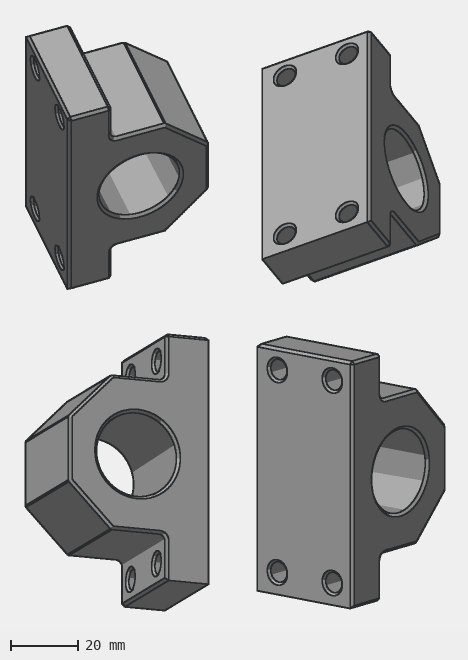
import cadquery as cq

width = 36.5
depth = 44.7
height = 75.75

flange_thickness = 13.7
body_height = 47.4
nose_height = 20.0
root_fillet = 2.0
edge_chamfer = 0.9
slope_chamfer = 0.3

bore_diameter = 25.6
bore_distance = 22.8

hole_diameter = 6.2
hole_chamfer = 0.75
hole_spacing_x = 21.05
hole_spacing_z = 62.1

slope_run = (body_height - nose_height) / 2
slope_start = depth - slope_run

tolerance = 0.01


def make_blank():
    """Extrude the side outline across the width, with rounded body roots and blunted slope ends."""
    outline = [
        (0, -height / 2),
        (flange_thickness, -height / 2),
        (flange_thickness, -body_height / 2),
        (slope_start, -body_height / 2),
        (depth, -nose_height / 2),
        (depth, nose_height / 2),
        (slope_start, body_height / 2),
        (flange_thickness, body_height / 2),
        (flange_thickness, height / 2),
        (0, height / 2),
    ]
    blank = cq.Workplane("YZ").polyline(outline).close().extrude(width / 2, both=True)

    def is_root(edge):
        center = edge.Center()
        at_flange_back = abs(center.y - flange_thickness) < tolerance
        at_body_side = abs(abs(center.z) - body_height / 2) < tolerance
        return at_flange_back and at_body_side

    def is_slope_end(edge):
        return edge.Center().y > slope_start - tolerance

    blank = blank.edges("|X").filter(is_root).fillet(root_fillet)
    return blank.edges("|X").filter(is_slope_end).chamfer(slope_chamfer)


def break_edges(blank):
    """Chamfer both end outlines and the flange ends, but keep the -X, -Y, -Z reference corner sharp."""

    def is_chamfered(edge):
        center = edge.Center()
        on_left = abs(center.x + width / 2) < tolerance
        on_right = abs(center.x - width / 2) < tolerance
        on_mounting_face = abs(center.y) < tolerance
        on_bottom = abs(center.z + height / 2) < tolerance
        on_flange_end = abs(abs(center.z) - height / 2) < tolerance
        sharp_faces_met = [on_left, on_mounting_face, on_bottom].count(True)
        return (on_left or on_right or on_flange_end) and sharp_faces_met < 2

    return blank.edges().filter(is_chamfered).chamfer(edge_chamfer)


def double_chamfered_pin(plane, diameter, length, chamfer):
    """Cutter centred on the origin that widens by the chamfer at both of its ends."""
    radius = diameter / 2
    half_length = length / 2
    pin = cq.Workplane(plane).circle(radius).extrude(half_length, both=True)
    for direction in (-1, 1):
        cone = (
            cq.Workplane(plane)
            .workplane(offset=direction * half_length)
            .circle(radius + chamfer)
            .workplane(offset=-direction * chamfer)
            .circle(radius)
            .loft(ruled=True)
        )
        pin = pin.union(cone)
    return pin


def cut_bore(body):
    """Cut the shaft bore through the full width."""
    bore = double_chamfered_pin("YZ", bore_diameter, width, edge_chamfer)
    return body.cut(bore.translate((0, bore_distance, 0)))


def cut_mounting_holes(body):
    """Cut the four holes through the flange."""
    hole = double_chamfered_pin("XZ", hole_diameter, flange_thickness, hole_chamfer)
    for x in (-hole_spacing_x / 2, hole_spacing_x / 2):
        for z in (-hole_spacing_z / 2, hole_spacing_z / 2):
            body = body.cut(hole.translate((x, flange_thickness / 2, z)))
    return body


result = cut_mounting_holes(cut_bore(break_edges(make_blank())))